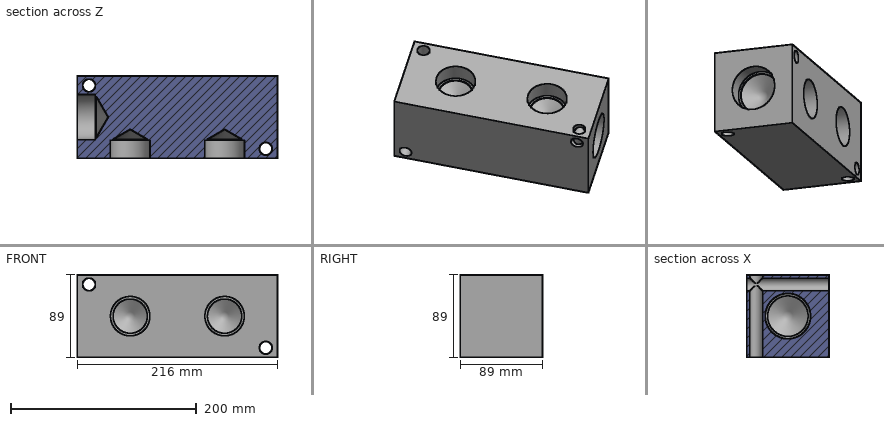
import cadquery as cq
import math

length = 216.0
side = 89.0

face_port_bore = 42.5
face_port_pilot = 37.0
end_port_bore = 48.5
end_port_pilot = 43.6
bore_depth = 19.5
face_pilot_depth = 1.0
end_pilot_depth = 1.3
drill_point_angle = 120.0
port_spacing = 101.7

mount_diameter = 13.4
mount_end_inset = 12.7
mount_edge_inset = 10.4
mount_x = length / 2 - mount_end_inset
mount_offset = side / 2 - mount_edge_inset


def port_cutter(bore, pilot, pilot_depth):
    """Port solid opening at the origin and running into -Z."""
    pilot_end = -(bore_depth + pilot_depth)
    point_height = pilot / 2 / math.tan(math.radians(drill_point_angle / 2))
    return (
        cq.Workplane("XZ")
        .lineTo(bore / 2, 0)
        .lineTo(bore / 2, -bore_depth)
        .lineTo(pilot / 2, -bore_depth)
        .lineTo(pilot / 2, pilot_end)
        .lineTo(0, pilot_end - point_height)
        .close()
        .revolve(360, (0, 0), (0, 1))
    )


def face_cutters():
    """Cutters for the top face: two ports and two diagonal mounting holes."""
    port = port_cutter(face_port_bore, face_port_pilot, face_pilot_depth)
    cutters = (
        cq.Workplane("XY")
        .workplane(offset=-side / 2)
        .pushPoints([(-mount_x, mount_offset), (mount_x, -mount_offset)])
        .circle(mount_diameter / 2)
        .extrude(side)
    )
    for x in (-port_spacing / 2, port_spacing / 2):
        cutters = cutters.add(port.translate((x, 0, side / 2)))
    return cutters.combine()


block = cq.Workplane("XY").box(length, side, side)

top_cutters = face_cutters()
front_cutters = top_cutters.rotate((0, 0, 0), (1, 0, 0), 90)

end_cutter = (
    port_cutter(end_port_bore, end_port_pilot, end_pilot_depth)
    .translate((0, 0, length / 2))
    .rotate((0, 0, 0), (0, 1, 0), -90)
)

result = block.cut(top_cutters).cut(front_cutters).cut(end_cutter)